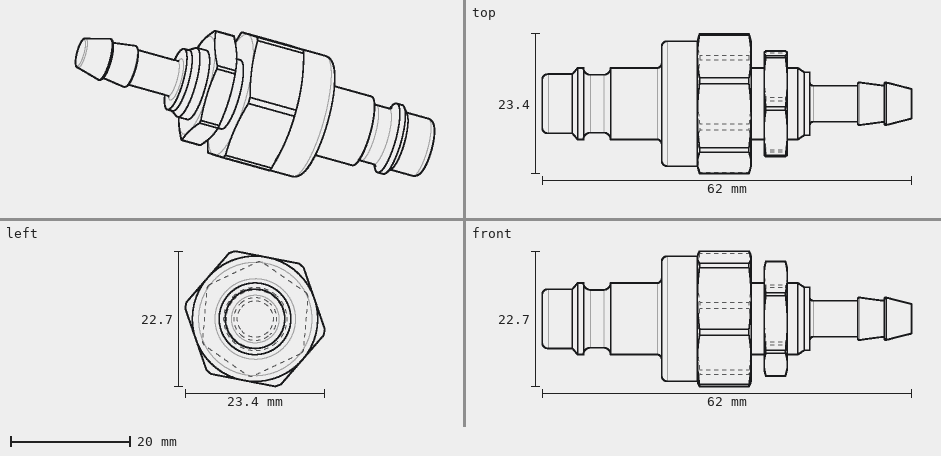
import cadquery as cq
import math

length = 62.0
ring_start = 5.1
ring_crest_start = 5.95
ring_crest_end = 6.95
groove_start = 8.05
groove_end = 10.35
shank_start = 11.5
collar_start = 20.0
hex_start = 26.05
hex_end = 35.0
nut_start = 37.2
nut_end = 41.1
taper_start = 42.85
taper_end = 43.95
tail_end = 44.9
barb_starts = (52.9, 57.35)

tip_diameter = 10.0
groove_diameter = 9.75
shank_diameter = 12.0
collar_diameter = 21.0
tail_diameter = 10.6
tube_diameter = 6.1
barb_diameter = 7.2
hose_end_diameter = 5.1

outer_round = 1.0
shank_root_round = 0.75
tube_root_round = 0.55
barb_round = 0.3
hose_end_round = 0.25

hex_flats = 21.0
hex_corners = 23.7
hex_turn = 11.0
nut_flats = 17.0
nut_corners = 19.3
nut_turn = 34.8
corner_bevel_angle = 15.0


def revolve_profile(profile):
    """Close a radius-over-X outline on the axis and spin it about X."""
    return profile.close().revolve(360, (0, 0, 0), (1, 0, 0))


def body_profile():
    """Outline of the plug, collar, tail and tube, up to the first barb."""
    tip = tip_diameter / 2
    groove = groove_diameter / 2
    shank = shank_diameter / 2
    collar = collar_diameter / 2
    tail = tail_diameter / 2
    tube = tube_diameter / 2
    return (
        cq.Workplane("XY")
        .lineTo(0, tip - outer_round)
        .radiusArc((outer_round, tip), outer_round)
        .lineTo(ring_start, tip)
        .lineTo(ring_crest_start, shank)
        .lineTo(ring_crest_end, shank)
        .radiusArc((groove_start, groove), -(shank - groove))
        .lineTo(groove_end, groove)
        .radiusArc((shank_start, shank), -(shank - groove))
        .lineTo(collar_start - shank_root_round, shank)
        .radiusArc((collar_start, shank + shank_root_round), -shank_root_round)
        .lineTo(collar_start, collar - outer_round)
        .radiusArc((collar_start + outer_round, collar), outer_round)
        .lineTo(hex_start, collar)
        .lineTo(hex_start, shank)
        .lineTo(taper_start, shank)
        .lineTo(taper_end, tail)
        .lineTo(tail_end, tail)
        .lineTo(tail_end, tube + tube_root_round)
        .radiusArc((tail_end + tube_root_round, tube), -tube_root_round)
        .lineTo(barb_starts[0], tube)
        .lineTo(barb_starts[0], 0)
    )


def barb(start, end, end_diameter, end_round=0):
    """Hose barb with a rounded crest that tapers towards the hose end."""
    crest = barb_diameter / 2
    tip = end_diameter / 2
    profile = (
        cq.Workplane("XY")
        .moveTo(start, 0)
        .lineTo(start, crest - barb_round)
        .radiusArc((start + barb_round, crest), barb_round)
        .lineTo(end - end_round, tip)
    )
    if end_round:
        profile = profile.radiusArc((end, tip - end_round), end_round)
    return revolve_profile(profile.lineTo(end, 0))


def hexagon(start, end, flats, corners, turn):
    """Hexagonal block with its corners trimmed round and bevelled at both ends."""
    prism = (
        cq.Workplane("YZ", origin=(start, 0, 0))
        .polygon(6, flats / math.cos(math.radians(30)))
        .extrude(end - start)
        .rotate((0, 0, 0), (1, 0, 0), turn)
    )
    face = flats / 2
    rim = corners / 2
    bevel = (rim - face) * math.tan(math.radians(corner_bevel_angle))
    envelope = revolve_profile(
        cq.Workplane("XY")
        .moveTo(start, 0)
        .lineTo(start, face)
        .lineTo(start + bevel, rim)
        .lineTo(end - bevel, rim)
        .lineTo(end, face)
        .lineTo(end, 0)
    )
    return prism.intersect(envelope)


result = (
    revolve_profile(body_profile())
    .union(hexagon(hex_start, hex_end, hex_flats, hex_corners, hex_turn))
    .union(hexagon(nut_start, nut_end, nut_flats, nut_corners, nut_turn))
    .union(barb(barb_starts[0], barb_starts[1], tube_diameter))
    .union(barb(barb_starts[1], length, hose_end_diameter, hose_end_round))
)